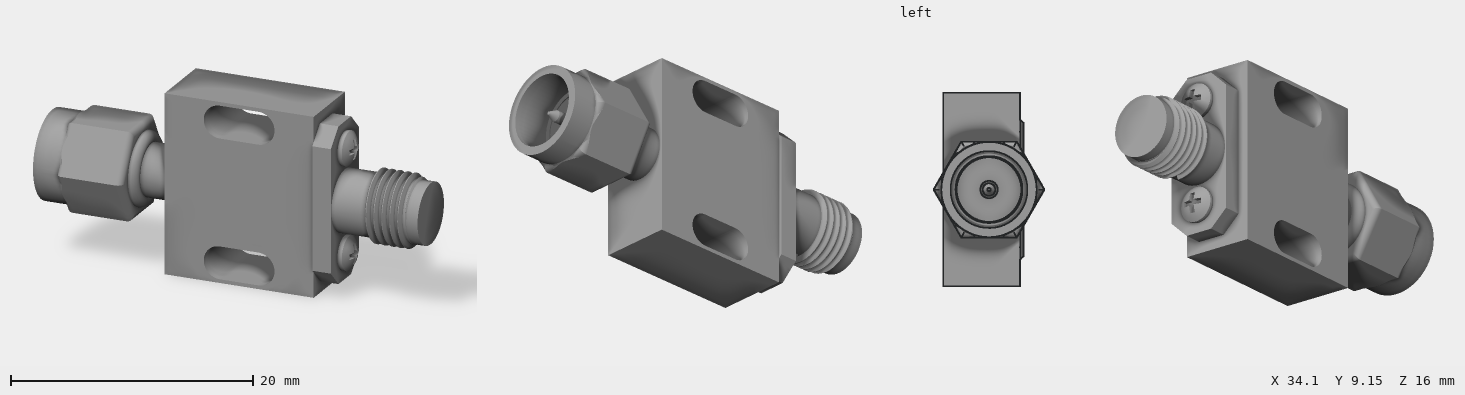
import cadquery as cq
import math

OVERALL_LENGTH = 34.15

HOUSING_START = 11.27
HOUSING_END = 24.73
HOUSING_HEIGHT = 16.0
HOUSING_FRONT = -2.55
HOUSING_BACK = 3.8
SLOT_LENGTH = 6.4
SLOT_WIDTH = 2.9
SLOT_OFFSET = 6.22

NUT_ACROSS_CORNERS = 9.15
NUT_LENGTH = 8.25
NUT_RING_RADIUS = 3.93
NUT_RING_LENGTH = 2.32
NUT_EDGE_RADIUS = 0.5
NUT_FLARE_MID_RADIUS = 4.05
NUT_FLARE_END_RADIUS = 4.45
NUT_BORE_RADIUS = 3.18
NUT_BORE_DEPTH = 3.52
NUT_THROAT_RADIUS = 2.75

PLUG_CORE_RADIUS = 2.65
COLLAR_RADIUS = 3.25
COLLAR_BEAD_RADIUS = 0.72
SHAFT_RADIUS = 2.32
PIN_RADIUS = 0.5
PIN_TIP_RADIUS = 0.15
PIN_TIP_START = 0.75
PIN_TIP_LENGTH = 0.75
PIN_RECESS_RADIUS = 0.72
PIN_RECESS_DEPTH = 0.35

FLANGE_THICKNESS = 1.67
FLANGE_HEIGHT = 13.95
FLANGE_WIDTH = 5.7
FLANGE_CHAMFER_Z = 1.47
FLANGE_CHAMFER_Y = 1.57
BARREL_RADIUS = 2.73
NOSE_RADIUS = 2.7
THREAD_RADIUS = 3.18
THREAD_PITCH = 0.72
THREAD_TURNS = 5.8
THREAD_START = 29.17
THREAD_END = 33.15
THREAD_ROOT_WIDTH = 0.58
THREAD_CREST_WIDTH = 0.07
THREAD_EMBED = 0.07

SCREW_OFFSET = 4.6
SCREW_RADIUS = 1.55
SCREW_UNDERSIDE_BEVEL = 0.05
SCREW_UNDERSIDE_HEIGHT = 0.2
SCREW_RIM_HEIGHT = 0.4
SCREW_HEAD_HEIGHT = 1.02
CROSS_LENGTH = 1.78
CROSS_WIDTH = 0.48
CROSS_DEPTH = 0.5

FLANGE_END = HOUSING_END + FLANGE_THICKNESS


def cylinder_x(radius, start, end):
    """Solid cylinder on the X axis between two X positions."""
    return cq.Workplane("YZ", origin=(start, 0, 0)).circle(radius).extrude(end - start)


def revolve_x(profile):
    """Closes an (X, radius) profile and turns it around the X axis."""
    return profile.close().revolve(360, (0, 0, 0), (1, 0, 0))


def make_housing():
    length = HOUSING_END - HOUSING_START
    block = cq.Workplane("XY").box(
        length, HOUSING_BACK - HOUSING_FRONT, HOUSING_HEIGHT, centered=(False, False, True)
    ).translate((HOUSING_START, HOUSING_FRONT, 0))
    slot_x = HOUSING_START + length / 2
    slots = (
        cq.Workplane("XZ", origin=(slot_x, HOUSING_BACK, 0))
        .pushPoints([(0, -SLOT_OFFSET), (0, SLOT_OFFSET)])
        .slot2D(SLOT_LENGTH, SLOT_WIDTH)
        .extrude(HOUSING_BACK - HOUSING_FRONT)
    )
    return block.cut(slots)


def make_nut():
    hexagon = (
        cq.Workplane("YZ", origin=(NUT_RING_LENGTH, 0, 0))
        .polygon(6, NUT_ACROSS_CORNERS)
        .extrude(NUT_LENGTH - NUT_RING_LENGTH)
        .faces(">X").edges().fillet(NUT_EDGE_RADIUS)
    )
    rounded_hexagon = hexagon.faces("<X").edges().fillet(NUT_EDGE_RADIUS)

    flare_end = NUT_RING_LENGTH + NUT_EDGE_RADIUS
    flare = revolve_x(
        cq.Workplane("XY")
        .moveTo(NUT_RING_LENGTH, 0)
        .lineTo(NUT_RING_LENGTH, NUT_RING_RADIUS)
        .threePointArc(
            (NUT_RING_LENGTH + NUT_EDGE_RADIUS / 2, NUT_FLARE_MID_RADIUS),
            (flare_end, NUT_FLARE_END_RADIUS),
        )
        .lineTo(flare_end, 0)
    )

    ring = cylinder_x(NUT_RING_RADIUS, 0, NUT_RING_LENGTH)
    bore = cylinder_x(NUT_BORE_RADIUS, 0, NUT_BORE_DEPTH)
    throat = cylinder_x(NUT_THROAT_RADIUS, 0, NUT_LENGTH)
    return rounded_hexagon.union(hexagon.intersect(flare)).union(ring).cut(bore).cut(throat)


def make_plug():
    core = cylinder_x(PLUG_CORE_RADIUS, NUT_BORE_DEPTH, NUT_LENGTH)
    pin_recess = cylinder_x(PIN_RECESS_RADIUS, NUT_BORE_DEPTH, NUT_BORE_DEPTH + PIN_RECESS_DEPTH)

    bead_center_radius = COLLAR_RADIUS - COLLAR_BEAD_RADIUS
    bead_end = NUT_LENGTH + math.sqrt(COLLAR_BEAD_RADIUS ** 2 - (bead_center_radius - SHAFT_RADIUS) ** 2)
    collar_and_shaft = revolve_x(
        cq.Workplane("XY")
        .moveTo(NUT_LENGTH, 0)
        .lineTo(NUT_LENGTH, COLLAR_RADIUS)
        .threePointArc((NUT_LENGTH + COLLAR_BEAD_RADIUS, bead_center_radius), (bead_end, SHAFT_RADIUS))
        .lineTo(HOUSING_START, SHAFT_RADIUS)
        .lineTo(HOUSING_START, 0)
    )

    pin = revolve_x(
        cq.Workplane("XY")
        .moveTo(PIN_TIP_START, 0)
        .lineTo(PIN_TIP_START, PIN_TIP_RADIUS)
        .lineTo(PIN_TIP_START + PIN_TIP_LENGTH, PIN_RADIUS)
        .lineTo(NUT_LENGTH, PIN_RADIUS)
        .lineTo(NUT_LENGTH, 0)
    )
    return core.cut(pin_recess).union(collar_and_shaft).union(pin)


def make_flange():
    half_height = FLANGE_HEIGHT / 2
    half_width = FLANGE_WIDTH / 2
    tip_half_width = half_width - FLANGE_CHAMFER_Y
    side_half_height = half_height - FLANGE_CHAMFER_Z
    outline = [
        (-tip_half_width, -half_height),
        (tip_half_width, -half_height),
        (half_width, -side_half_height),
        (half_width, side_half_height),
        (tip_half_width, half_height),
        (-tip_half_width, half_height),
        (-half_width, side_half_height),
        (-half_width, -side_half_height),
    ]
    return (
        cq.Workplane("YZ", origin=(HOUSING_END, 0, 0)).polyline(outline).close().extrude(FLANGE_THICKNESS)
    )


def make_thread_ridge():
    """Right-hand thread ridge that starts at -Z; its root is sunk into the barrel."""
    root_radius = BARREL_RADIUS - THREAD_EMBED
    helix = cq.Wire.makeHelix(THREAD_PITCH, THREAD_TURNS * THREAD_PITCH, root_radius)
    return (
        cq.Workplane("XZ")
        .polyline([
            (root_radius, -THREAD_ROOT_WIDTH / 2),
            (THREAD_RADIUS, -THREAD_CREST_WIDTH / 2),
            (THREAD_RADIUS, THREAD_CREST_WIDTH / 2),
            (root_radius, THREAD_ROOT_WIDTH / 2),
        ])
        .close()
        .sweep(cq.Workplane(obj=helix), isFrenet=True)
        .rotate((0, 0, 0), (0, 1, 0), 90)
        .translate((THREAD_START, 0, 0))
    )


def make_jack():
    barrel = cylinder_x(BARREL_RADIUS, FLANGE_END, OVERALL_LENGTH).union(make_thread_ridge())

    clear_radius = THREAD_RADIUS + THREAD_EMBED
    nose_cut = revolve_x(
        cq.Workplane("XY")
        .moveTo(THREAD_END - (clear_radius - NOSE_RADIUS), clear_radius)
        .lineTo(THREAD_END, NOSE_RADIUS)
        .lineTo(OVERALL_LENGTH, NOSE_RADIUS)
        .lineTo(OVERALL_LENGTH, clear_radius)
    )
    return make_flange().union(barrel.cut(nose_cut))


def make_screw(z):
    """Domed screw head with a cross recess, seated on the flange at height z."""
    dome_height = SCREW_HEAD_HEIGHT - SCREW_RIM_HEIGHT
    dome_radius = (SCREW_RADIUS ** 2 + dome_height ** 2) / (2 * dome_height)
    mid_radius = SCREW_RADIUS / 2
    mid_height = SCREW_HEAD_HEIGHT - dome_radius + math.sqrt(dome_radius ** 2 - mid_radius ** 2)
    head = revolve_x(
        cq.Workplane("XY")
        .lineTo(0, SCREW_RADIUS - SCREW_UNDERSIDE_BEVEL)
        .lineTo(SCREW_UNDERSIDE_HEIGHT, SCREW_RADIUS)
        .lineTo(SCREW_RIM_HEIGHT, SCREW_RADIUS)
        .threePointArc((mid_height, mid_radius), (SCREW_HEAD_HEIGHT, 0))
    )
    recess_plane = cq.Workplane("YZ", origin=(SCREW_HEAD_HEIGHT - CROSS_DEPTH, 0, 0))
    for length_y, length_z in ((CROSS_LENGTH, CROSS_WIDTH), (CROSS_WIDTH, CROSS_LENGTH)):
        head = head.cut(recess_plane.rect(length_y, length_z).extrude(CROSS_DEPTH))
    return head.translate((FLANGE_END, 0, z))


housing = make_housing()
nut = make_nut()
plug = make_plug()
jack = make_jack()
screws = [make_screw(z) for z in (-SCREW_OFFSET, SCREW_OFFSET)]

bodies = [housing, nut, plug, jack, *screws]
result = cq.Compound.makeCompound([body.solids().val() for body in bodies])